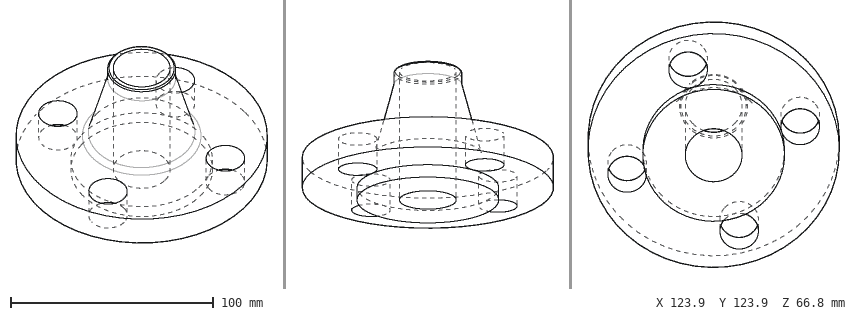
import cadquery as cq

flange_diameter = 123.9
flange_thickness = 15.7
spigot_diameter = 69.9
spigot_height = 6.5

total_height = 66.8
neck_base_diameter = 53.8
neck_top_diameter = 33.6
weld_end_height = 6.7
root_fillet_radius = 3.1
bore_diameter = 28.0
weld_bevel_height = 0.7
weld_face_diameter = 32.1

bolt_hole_count = 4
bolt_hole_diameter = 19.0
bolt_circle_diameter = 89.0

flange_top = spigot_height + flange_thickness
weld_end_bottom = total_height - weld_end_height

selection_margin = 1.2


def make_flange():
    """Flange disc standing on its spigot."""
    spigot = cq.Workplane("XY").circle(spigot_diameter / 2).extrude(spigot_height)
    disc = (
        cq.Workplane("XY")
        .workplane(offset=spigot_height)
        .circle(flange_diameter / 2)
        .extrude(flange_thickness)
    )
    return spigot.union(disc)


def make_neck():
    """Revolved neck: cone, straight weld end and outer bevel."""
    profile = [
        (0, flange_top),
        (neck_base_diameter / 2, flange_top),
        (neck_top_diameter / 2, weld_end_bottom),
        (neck_top_diameter / 2, total_height - weld_bevel_height),
        (weld_face_diameter / 2, total_height),
        (0, total_height),
    ]
    return (
        cq.Workplane("XZ")
        .polyline(profile)
        .close()
        .revolve(360, (0, 0, 0), (0, 1, 0))
    )


def fillet_neck_root(body):
    """Round the corner where the cone meets the flange face."""
    reach = neck_base_diameter / 2 + selection_margin
    root_edge = cq.selectors.BoxSelector(
        (-reach, -reach, flange_top - selection_margin),
        (reach, reach, flange_top + selection_margin),
        boundingbox=True,
    )
    return body.edges(root_edge).fillet(root_fillet_radius)


def make_bore():
    """Straight bore through the full height."""
    return cq.Workplane("XY").circle(bore_diameter / 2).extrude(total_height)


def make_bolt_holes():
    """Through holes evenly spaced on the bolt circle, just clear of the spigot."""
    return (
        cq.Workplane("XY")
        .polarArray(bolt_circle_diameter / 2, 0, 360, bolt_hole_count)
        .circle(bolt_hole_diameter / 2)
        .extrude(flange_top)
    )


body = fillet_neck_root(make_flange().union(make_neck()))
result = body.cut(make_bore()).cut(make_bolt_holes())